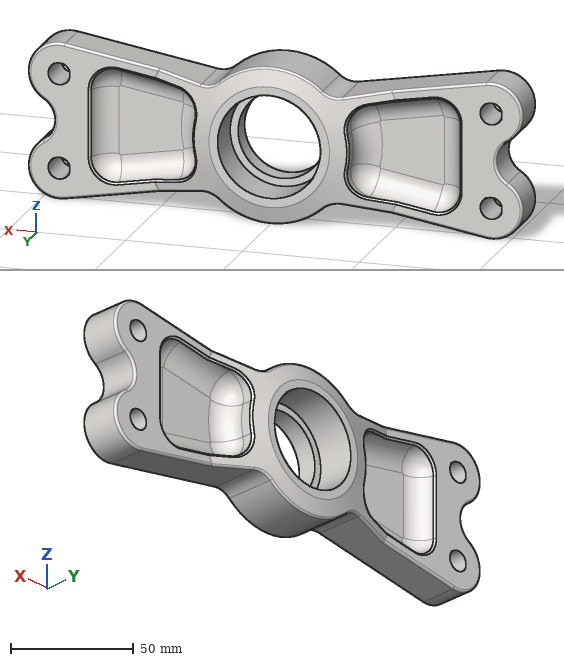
import cadquery as cq
import math

LENGTH = 211.3
HUB_THICKNESS = 26.5
HEIGHT = 67.0

LUG_RADIUS = 13.3
NOTCH_RADIUS = 10.4
BLEND_RADIUS = 10.0
TAPER_ANGLE = math.radians(9.8)
HUB_RADIUS = HEIGHT / 2

ARM_THICKNESS = 18.0
CROWN_FLAT_RADIUS = 25.8
CROWN_SLOPE = math.radians(15.6)
RIM_RADIUS = 1.0
POCKET_CHAMFER = 0.8

BOLT_HOLE_DIAMETER = 9.3
BORE_DIAMETER = 37.2
COUNTERBORE_DIAMETER = 44.0
SEAT_THICKNESS = 9.0

POCKET_WALL = 5.0
POCKET_CORNER_RADIUS = 10.04
POCKET_FLOOR_RADIUS = 9.5

LUG_X = LENGTH / 2 - LUG_RADIUS
LUG_Z = HEIGHT / 2 - LUG_RADIUS
NOTCH_X = LUG_X + math.sqrt((LUG_RADIUS + NOTCH_RADIUS) ** 2 - LUG_Z**2)
CONE_END_RADIUS = CROWN_FLAT_RADIUS + (HUB_THICKNESS - ARM_THICKNESS) / math.tan(CROWN_SLOPE)
POCKET_END_X = LUG_X - LUG_RADIUS

PICK_MARGIN = 0.2
POCKET_HALF_HEIGHT = 23.2


def polar(center, radius, angle):
    """Point on a circle in the XZ plane."""
    return (center[0] + radius * math.cos(angle), center[1] + radius * math.sin(angle))


def blend_center(edge_offset, radius):
    """Center that touches the hub circle and lies edge_offset above the upper right arm edge."""
    lug_height = LUG_Z * math.cos(TAPER_ANGLE) - LUG_X * math.sin(TAPER_ANGLE)
    height = lug_height + LUG_RADIUS + edge_offset
    distance = HUB_RADIUS + radius
    return polar((0, 0), distance, TAPER_ANGLE + math.asin(height / distance))


def make_plate():
    """Bow-tie plate at full hub thickness, mirrored from its upper right quarter."""
    lug = (LUG_X, LUG_Z)
    blend = blend_center(BLEND_RADIUS, BLEND_RADIUS)
    edge_normal = TAPER_ANGLE + math.pi / 2
    hub_angle = math.atan2(blend[1], blend[0])
    notch_angle = math.atan2(-LUG_Z, NOTCH_X - LUG_X)
    quarter = (
        cq.Workplane("XZ")
        .moveTo(0, 0)
        .lineTo(0, HUB_RADIUS)
        .threePointArc(
            polar((0, 0), HUB_RADIUS, (hub_angle + math.pi / 2) / 2),
            polar((0, 0), HUB_RADIUS, hub_angle),
        )
        .threePointArc(
            polar(blend, BLEND_RADIUS, (hub_angle + math.pi + edge_normal + math.pi) / 2),
            polar(blend, BLEND_RADIUS, edge_normal + math.pi),
        )
        .lineTo(*polar(lug, LUG_RADIUS, edge_normal))
        .threePointArc(
            polar(lug, LUG_RADIUS, (edge_normal + notch_angle) / 2),
            polar(lug, LUG_RADIUS, notch_angle),
        )
        .threePointArc(
            polar((NOTCH_X, 0), NOTCH_RADIUS, math.pi + notch_angle / 2),
            (NOTCH_X - NOTCH_RADIUS, 0),
        )
        .close()
        .extrude(-HUB_THICKNESS)
    )
    right = quarter.union(quarter.mirror("XY"))
    return right.union(right.mirror("YZ")).clean()


def make_crown():
    """Body of revolution about Y that shapes the conical back."""
    return (
        cq.Workplane("XY")
        .polyline([
            (0, 0),
            (0, HUB_THICKNESS),
            (CROWN_FLAT_RADIUS, HUB_THICKNESS),
            (CONE_END_RADIUS, ARM_THICKNESS),
            (LENGTH, ARM_THICKNESS),
            (LENGTH, 0),
        ])
        .close()
        .revolve(360, (0, 0, 0), (0, 1, 0))
    )


def make_pocket():
    """Right arm pocket: curved round the hub, parallel to the arm edges, with a rounded floor."""
    corner = blend_center(-POCKET_WALL - POCKET_CORNER_RADIUS, POCKET_CORNER_RADIUS)
    hub_angle = math.atan2(corner[1], corner[0])
    edge_normal = TAPER_ANGLE + math.pi / 2
    side_start = polar(corner, POCKET_CORNER_RADIUS, edge_normal)
    side_end = (POCKET_END_X, side_start[1] + (POCKET_END_X - side_start[0]) * math.tan(TAPER_ANGLE))
    corner_mid = polar(corner, POCKET_CORNER_RADIUS, (hub_angle + math.pi + edge_normal) / 2)
    hub_end = polar((0, 0), HUB_RADIUS, hub_angle)

    def lower(point):
        return (point[0], -point[1])

    return (
        cq.Workplane("XZ", origin=(0, SEAT_THICKNESS, 0))
        .moveTo(*lower(hub_end))
        .threePointArc((HUB_RADIUS, 0), hub_end)
        .threePointArc(corner_mid, side_start)
        .lineTo(*side_end)
        .lineTo(*lower(side_end))
        .lineTo(*lower(side_start))
        .threePointArc(lower(corner_mid), lower(hub_end))
        .close()
        .extrude(-HUB_THICKNESS)
        .edges("|Y and >X")
        .fillet(POCKET_CORNER_RADIUS)
        .faces("<Y")
        .edges()
        .fillet(POCKET_FLOOR_RADIUS)
    )


def cylinder_y(diameter, start):
    """Cutter along +Y from start through the back."""
    return cq.Workplane("XZ", origin=(0, start, 0)).circle(diameter / 2).extrude(-HUB_THICKNESS)


def on_outer_rim(edge):
    """Leave out the edges that cross the middle of an arm, where the cone meets its flat back."""
    middle = edge.Center()
    on_back = ARM_THICKNESS - PICK_MARGIN < middle.y < HUB_THICKNESS - PICK_MARGIN
    return on_back and (abs(middle.z) > 2.1 or abs(middle.x) > LUG_X)


def on_pocket_rim(edge):
    """Leave out the outer rim and the short stubs where the cone still meets an arm's flat back."""
    middle = edge.Center()
    beside_hub = HUB_RADIUS - 1.0 < abs(middle.x) < POCKET_END_X + PICK_MARGIN
    on_back = middle.y > ARM_THICKNESS - PICK_MARGIN
    return on_back and beside_hub and abs(middle.z) < POCKET_HALF_HEIGHT


body = make_plate().intersect(make_crown())
outer_rim = body.edges().filter(on_outer_rim).vals()
body = body.newObject(outer_rim).fillet(RIM_RADIUS)

pocket = make_pocket()
body = body.cut(pocket).cut(pocket.mirror("YZ"))
back_faces = body.faces("%CONE").add(body.faces("+Y"))
pocket_rim = back_faces.edges().filter(on_pocket_rim).vals()
body = body.newObject(pocket_rim).chamfer(POCKET_CHAMFER)

body = body.cut(cylinder_y(BORE_DIAMETER, 0)).cut(cylinder_y(COUNTERBORE_DIAMETER, SEAT_THICKNESS))
for x in (-LUG_X, LUG_X):
    for z in (-LUG_Z, LUG_Z):
        body = body.cut(cylinder_y(BOLT_HOLE_DIAMETER, 0).translate((x, 0, z)))

result = body